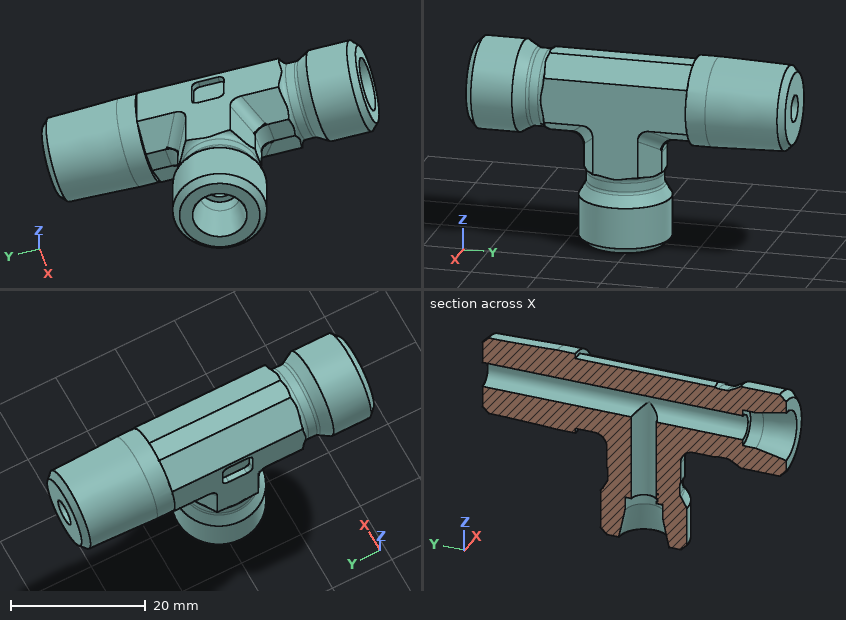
import cadquery as cq
import math


port_length = 23.0
port_diameter = 14.0
port_chamfer = 1.05
cone_angle = math.radians(30)
neck_diameter = 11.7
neck_end = 13.4
neck_fillet = 1.0
shoulder = 11.02
neck_start = shoulder + neck_fillet

taper_length = 26.0
taper_end = 14.0
collar_diameter = 13.6
taper_ratio = 1 / 16
tip_chamfer = 1.0

body_width = 12.0
corner_fillet = 2.0

bore_diameter = 4.0
socket_diameter = 6.0
mouth_diameter = 8.1
mouth_angle = math.radians(12)
socket_depth = 7.0

recess_size = 5.0
recess_corner = 1.0
recess_depth = 1.0


def aim_along_run(shape, toward_thread=False):
    """Turn a shape built along -Z to point along -Y, or along +Y toward the tapered thread."""
    angle = 90 if toward_thread else -90
    return shape.rotate((0, 0, 0), (1, 0, 0), angle)


def revolve_about_z(outline):
    return outline.close().revolve(360, (0, 0, 0), (0, 1, 0))


def body_bar(length):
    """Hexagonal bar along -Z, with its two Y corners cut flat to the body width."""
    hexagon_diameter = body_width / math.cos(math.pi / 6)
    hexagon = cq.Workplane("XY").polygon(6, hexagon_diameter).extrude(-length)
    hexagon = hexagon.rotate((0, 0, 0), (0, 0, 1), 90)
    square = cq.Workplane("XY").rect(body_width, body_width).extrude(-length)
    return hexagon.intersect(square)


def neck_relief():
    """Ring that turns the end of a bar along -Z down to the neck, leaving a fillet."""
    neck_radius = neck_diameter / 2
    outer_radius = body_width
    diagonal = neck_fillet * (1 - math.sqrt(0.5))
    outline = (
        cq.Workplane("XZ")
        .moveTo(neck_radius, -neck_start)
        .threePointArc(
            (neck_radius + diagonal, -shoulder - diagonal),
            (neck_radius + neck_fillet, -shoulder),
        )
        .lineTo(outer_radius, -shoulder)
        .lineTo(outer_radius, -neck_start)
    )
    return revolve_about_z(outline)


def forged_body():
    branch = body_bar(neck_start)
    run = aim_along_run(body_bar(neck_start)).union(aim_along_run(body_bar(shoulder), True))
    body = run.union(branch).clean()
    half_width = body_width / 2
    reach = 1.7
    for side in (-1, 1):
        corner_edges = cq.selectors.BoxSelector(
            (-half_width, side * (half_width - reach), -half_width + reach),
            (half_width, side * (half_width + reach), -half_width - reach),
        )
        body = body.edges(corner_edges).fillet(corner_fillet)
    return body.cut(neck_relief()).cut(aim_along_run(neck_relief()))


def port_end():
    """Neck, shoulder cone and chamfered thread, pointing along -Z."""
    neck_radius = neck_diameter / 2
    port_radius = port_diameter / 2
    root_end = neck_end + neck_fillet * math.sin(cone_angle)
    root_radius = neck_radius + neck_fillet * (1 - math.cos(cone_angle))
    cone_end = root_end + (port_radius - root_radius) / math.tan(cone_angle)
    root_middle = (
        neck_radius + neck_fillet * (1 - math.cos(cone_angle / 2)),
        -neck_end - neck_fillet * math.sin(cone_angle / 2),
    )
    outline = (
        cq.Workplane("XZ")
        .moveTo(0, -neck_start)
        .lineTo(neck_radius, -neck_start)
        .lineTo(neck_radius, -neck_end)
        .threePointArc(root_middle, (root_radius, -root_end))
        .lineTo(port_radius, -cone_end)
        .lineTo(port_radius, -port_length + port_chamfer)
        .lineTo(port_radius - port_chamfer, -port_length)
        .lineTo(0, -port_length)
    )
    return revolve_about_z(outline)


def tapered_end():
    """Collar and tapered thread, built along -Z."""
    collar_radius = collar_diameter / 2
    taper_stop = taper_length - tip_chamfer
    tip_radius = collar_radius - (taper_stop - taper_end) * taper_ratio / 2
    outline = (
        cq.Workplane("XZ")
        .moveTo(0, -shoulder)
        .lineTo(collar_radius, -shoulder)
        .lineTo(collar_radius, -taper_end)
        .lineTo(tip_radius, -taper_stop)
        .lineTo(tip_radius - tip_chamfer, -taper_length)
        .lineTo(0, -taper_length)
    )
    return revolve_about_z(outline)


def bore(length):
    return cq.Workplane("XY").circle(bore_diameter / 2).extrude(-length)


def port_socket():
    """Tube socket with a conical mouth, opening at the end of a port along -Z."""
    mouth_radius = mouth_diameter / 2
    socket_radius = socket_diameter / 2
    mouth_depth = (mouth_radius - socket_radius) / math.tan(mouth_angle)
    outline = (
        cq.Workplane("XZ")
        .moveTo(0, -port_length)
        .lineTo(mouth_radius, -port_length)
        .lineTo(socket_radius, -port_length + mouth_depth)
        .lineTo(socket_radius, -port_length + socket_depth)
        .lineTo(0, -port_length + socket_depth)
    )
    return revolve_about_z(outline)


def flank_recess():
    """Rounded square recess in the middle of the -X flank."""
    block = cq.Workplane("YZ").rect(recess_size, recess_size).extrude(recess_depth)
    return block.edges("|X").fillet(recess_corner).translate((-body_width / 2, 0, 0))


result = forged_body().union(aim_along_run(tapered_end(), True))
for end in (port_end(), aim_along_run(port_end())):
    result = result.union(end)

port_cavity = bore(port_length).union(port_socket())
result = result.cut(port_cavity).cut(aim_along_run(port_cavity))
result = result.cut(aim_along_run(bore(taper_length), True))
result = result.cut(flank_recess())